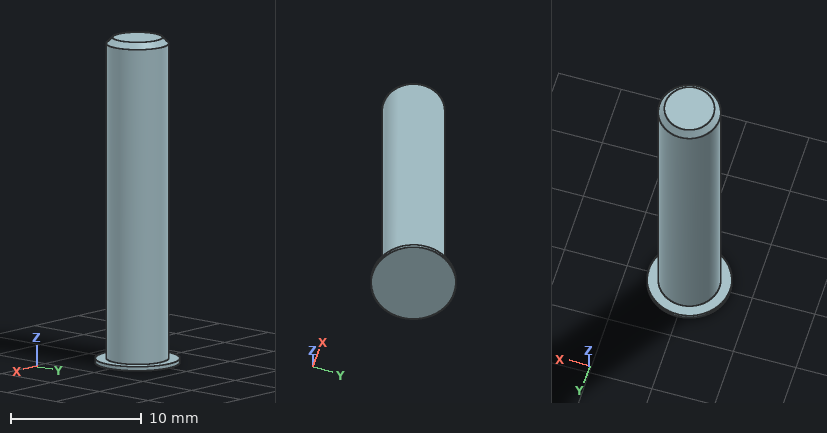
import cadquery as cq

total_length = 25.4
pin_diameter = 4.8
head_diameter = 6.5
head_thickness = 0.33
tip_chamfer = 0.48


def make_head():
    """Thin round head with its underside at Z = 0."""
    return cq.Workplane("XY").circle(head_diameter / 2).extrude(head_thickness)


def make_pin():
    """Solid round pin along Z with a chamfered top edge."""
    pin = cq.Workplane("XY").circle(pin_diameter / 2).extrude(total_length)
    return pin.faces(">Z").edges().chamfer(tip_chamfer)


result = make_head().union(make_pin())